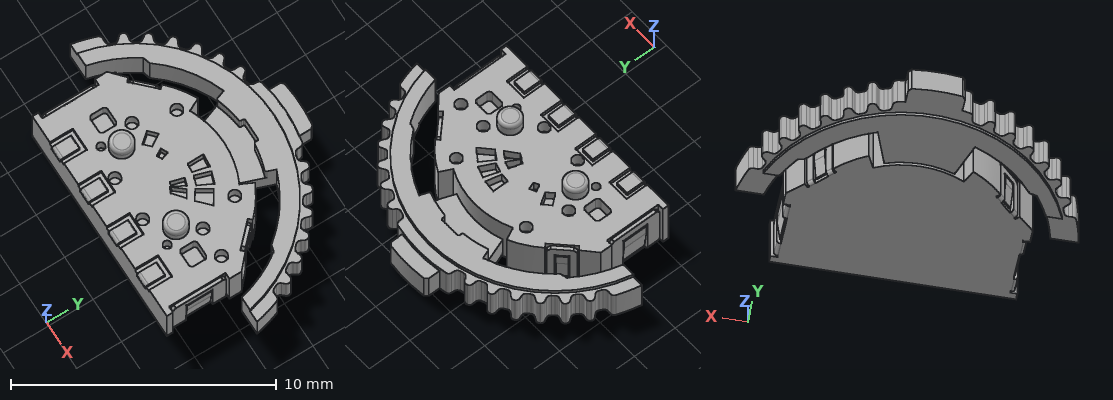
import cadquery as cq
import math

body_height = 2.21
body_half_width = 4.74
body_arc_radius = 4.54
slant_angle = 45.0
shoulder_y = 3.33
slant_distance = 4.54
overlap = 0.07

pivot_y = 1.59
ring_end_y = 2.85
ring_half_span = 6.58
tip_radius = math.hypot(ring_half_span, ring_end_y - pivot_y)
root_radius = 6.32
lip_radius = 6.21
ring_outer_bore = 5.63
ring_inner_bore = 5.45
bore_step_outer_angle = 54.5
bore_step_inner_angle = 52.0
teeth_bottom = 0.32
teeth_top = 1.66
lip_height = 0.16
lip_end_y = 3.97

tooth_gap_count = 7
first_gap_angle = 16.1
last_gap_angle = 65.7
gap_pitch = (last_gap_angle - first_gap_angle) / (tooth_gap_count - 1)
gap_root_width = 0.4
gap_tip_width = 0.71
gap_root_fillet = 0.18
tooth_tip_fillet = 0.17

knob_half_width = 1.09
knob_radius = 7.34
knob_top = 1.5
knob_chamfer = 0.12

spoke_angle = 20.0
spoke_pad_radius = 5.0
spoke_top = 1.13
pad_notch_width = 1.0
pad_notch_radius = 5.19
pad_fillet = 0.07
seat_radius = 3.95
seat_angle = 26.2

side_slot_start_y = 0.28
side_slot_end_y = 2.79
slant_slot_length = 1.29
slant_floor_distance = 4.34
side_floor_x = 4.46
plate_thickness = 0.16
plate_end_gap = 0.07
plate_top = 2.09
plate_corner = 0.15
side_window_width = 1.2
slant_window_width = 0.58
window_top = 1.7
lug_top = 1.62
lug_knee = 1.18
lug_bottom = 0.2
lug_side_gap = 0.05
lug_lower_depth = 0.05

pin_diameter = 1.0
pin_height = 0.59
pin_fillet = 0.16
pin_x = 1.91
pin_y = 2.2
hole_diameter = 0.5
small_hole_diameter = 0.34
hole_depth = 0.65
hole_points = [
    (-2.04, 4.74),
    (2.04, 4.74),
    (-2.5, 3.03),
    (2.5, 3.03),
    (3.8, 3.03),
    (-0.97, 1.3),
    (0.97, 1.3),
]
small_hole_points = [(-2.33, 1.54), (2.33, 1.54)]
pocket_x = 3.17
pocket_y = 2.17
pocket_length = 0.84
pocket_width = 0.76
pocket_fillet = 0.15
sector_depth = 0.42
sector_windows = [
    (2.33, 3.04, 0.0, 9.3, 0.0, 10.2),
    (2.33, 3.03, 12.9, 23.0, 14.0, 23.9),
    (2.26, 2.97, 26.2, 38.6, 27.8, 40.5),
    (1.4, 1.99, 10.6, 18.5, 12.1, 21.7),
    (1.34, 1.95, 18.6, 29.5, 25.5, 36.4),
    (2.04, 2.6, -50.2, -39.4, -47.9, -37.9),
    (1.76, 2.09, -30.4, -22.5, -30.2, -22.0),
]

contact_x = [-3.0, -1.0, 1.0, 3.0]
recess_width = 1.0
recess_length = 1.03
recess_depth = 0.17
tab_width = 0.6
tab_end_y = 0.83
tab_top = 2.2
tab_bend_radius = 0.15
tab_nose_height = 0.03
tab_overhang = 0.05


def polar(radius, angle):
    """Point at a radius from the pivot; the angle runs from +Y towards +X."""
    turn = math.radians(angle)
    return radius * math.sin(turn), pivot_y + radius * math.cos(turn)


def slab(outline, bottom, top):
    return outline.extrude(top - bottom).translate((0, 0, bottom))


def arc_band(inner, outer, half_angle, bottom, top):
    """Band between two radii, symmetric about +Y."""
    outline = (
        cq.Workplane("XY")
        .moveTo(*polar(inner, -half_angle))
        .lineTo(*polar(outer, -half_angle))
        .threePointArc(polar(outer, 0), polar(outer, half_angle))
        .lineTo(*polar(inner, half_angle))
        .threePointArc(polar(inner, 0), polar(inner, -half_angle))
        .close()
    )
    return slab(outline, bottom, top)


def disc(radius, bottom, top, cut_y):
    """Disc about the pivot, keeping only the part beyond cut_y."""
    half_x = math.sqrt(radius**2 - (cut_y - pivot_y) ** 2)
    outline = (
        cq.Workplane("XY")
        .moveTo(-half_x, cut_y)
        .threePointArc((0, pivot_y + radius), (half_x, cut_y))
        .close()
    )
    return slab(outline, bottom, top)


def both_sides(shape):
    return shape.union(shape.mirror("YZ"))


def housing():
    """Block with slanted corners, rounded back and a seat for the spoke."""

    def slant_point(distance, along):
        turn = math.radians(slant_angle)
        x = distance * math.sin(turn) + along * math.cos(turn)
        y = pivot_y + distance * math.cos(turn) - along * math.sin(turn)
        return x, y

    slant_end = slant_point(slant_distance, slant_slot_length)
    arc_end = polar(body_arc_radius, slant_angle)
    right = [(body_half_width, 0), (body_half_width, shoulder_y), slant_end, arc_end]
    left = [(-x, y) for x, y in reversed(right)]
    outline = (
        cq.Workplane("XY")
        .polyline(right)
        .threePointArc(polar(body_arc_radius, 0), left[0])
        .polyline(left[1:], includeCurrent=True)
        .close()
    )
    seat = arc_band(seat_radius, body_arc_radius + overlap, seat_angle, 0, body_height)
    return slab(outline, 0, body_height).cut(seat)


def clip_slot(length):
    """Slot in a wall: +X points out of the wall, floor on X = 0, centred on Y."""
    depth = 4 * plate_thickness
    return cq.Workplane("XY").box(depth, length, body_height, centered=(False, True, False))


def clip_plate(slot_length, window_width):
    """Plate with a window open at the bottom and a snap lug, in the frame of clip_slot."""
    width = slot_length - 2 * plate_end_gap
    plate = (
        cq.Workplane("XY")
        .box(plate_thickness + overlap, width, plate_top, centered=(False, True, False))
        .translate((-overlap, 0, 0))
        .edges("|X and >Z")
        .chamfer(plate_corner)
        .edges(">X and <Z")
        .fillet(plate_corner)
    )
    window = cq.Workplane("XY").box(plate_thickness, window_width, window_top, centered=(False, True, False))
    lug_width = window_width - 2 * lug_side_gap
    lug = (
        cq.Workplane("XZ")
        .polyline(
            [
                (-overlap, lug_bottom),
                (lug_lower_depth, lug_bottom),
                (plate_thickness, lug_knee),
                (plate_thickness, lug_top),
                (-overlap, lug_top),
            ]
        )
        .close()
        .extrude(lug_width / 2, both=True)
    )
    return plate.cut(window).union(lug)


def place_side(shape):
    return shape.translate((side_floor_x, (side_slot_start_y + side_slot_end_y) / 2, 0))


def place_slant(shape):
    moved = shape.translate((slant_floor_distance, -slant_slot_length / 2, 0))
    return moved.rotate((0, 0, 0), (0, 0, 1), 90 - slant_angle).translate((0, pivot_y, 0))


def add_clips(body):
    side_length = side_slot_end_y - side_slot_start_y
    clips = [
        (place_side, side_length, side_window_width),
        (place_slant, slant_slot_length, slant_window_width),
    ]
    for place, length, window_width in clips:
        body = body.cut(both_sides(place(clip_slot(length))))
        body = body.union(both_sides(place(clip_plate(length, window_width))))
    return body


def add_top_details(body):
    top = cq.Workplane("XY").workplane(offset=body_height)
    body = body.cut(top.pushPoints(hole_points).circle(hole_diameter / 2).extrude(-hole_depth))
    body = body.cut(top.pushPoints(small_hole_points).circle(small_hole_diameter / 2).extrude(-hole_depth))

    pockets = (
        top.pushPoints([(-pocket_x, pocket_y), (pocket_x, pocket_y)])
        .rect(pocket_length, pocket_width)
        .extrude(-hole_depth)
        .edges("|Z")
        .fillet(pocket_fillet)
    )
    body = body.cut(pockets)

    for inner, outer, inner_start, inner_end, outer_start, outer_end in sector_windows:
        corners = [
            polar(inner, inner_start),
            polar(outer, outer_start),
            polar(outer, outer_end),
            polar(inner, inner_end),
        ]
        body = body.cut(top.polyline(corners).close().extrude(-sector_depth))

    pins = (
        top.pushPoints([(-pin_x, pin_y), (pin_x, pin_y)])
        .circle(pin_diameter / 2)
        .extrude(pin_height)
        .faces(">Z")
        .edges()
        .fillet(pin_fillet)
    )
    return body.union(pins)


def add_contacts(body):
    """Recesses at the front edge, each with a tab rolled over the edge."""
    bend_y = tab_bend_radius - tab_overhang
    nose_top = tab_top - tab_bend_radius
    nose_bottom = nose_top - tab_nose_height
    tab_bottom = nose_bottom - tab_bend_radius
    sagitta = tab_bend_radius * (1 - math.sqrt(0.5))
    middle_y = sagitta - tab_overhang
    tab = (
        cq.Workplane("YZ")
        .moveTo(tab_end_y, tab_top)
        .lineTo(bend_y, tab_top)
        .threePointArc((middle_y, tab_top - sagitta), (-tab_overhang, nose_top))
        .lineTo(-tab_overhang, nose_bottom)
        .threePointArc((middle_y, tab_bottom + sagitta), (bend_y, tab_bottom))
        .lineTo(tab_end_y, tab_bottom)
        .close()
        .extrude(tab_width / 2, both=True)
    )
    recess = cq.Workplane("XY").box(recess_width, recess_length, recess_depth, centered=(True, False, False))
    for x in contact_x:
        body = body.cut(recess.translate((x, 0, body_height - recess_depth)))
        body = body.union(tab.translate((x, 0, 0)))
    return body


def bore():
    """Opening of the arc: the middle stretch is narrower than the two ends."""
    wide_middle_angle = (90 + bore_step_outer_angle) / 2
    wide_start = polar(ring_outer_bore, -bore_step_outer_angle)
    wide_end = polar(ring_outer_bore, bore_step_outer_angle)
    narrow_start = polar(ring_inner_bore, -bore_step_inner_angle)
    narrow_end = polar(ring_inner_bore, bore_step_inner_angle)
    outline = (
        cq.Workplane("XY")
        .moveTo(-ring_outer_bore, pivot_y)
        .threePointArc(polar(ring_outer_bore, -wide_middle_angle), wide_start)
        .lineTo(*narrow_start)
        .threePointArc(polar(ring_inner_bore, 0), narrow_end)
        .lineTo(*wide_end)
        .threePointArc(polar(ring_outer_bore, wide_middle_angle), (ring_outer_bore, pivot_y))
        .close()
    )
    return slab(outline, 0, body_height)


def tooth_gaps():
    """Rounded gaps between the teeth, on both sides of the middle."""
    flare = (gap_tip_width - gap_root_width) / (tip_radius - root_radius)
    outside = tip_radius + overlap
    half_outside = (gap_root_width + flare * (outside - root_radius)) / 2
    half_root = gap_root_width / 2
    outline = (
        cq.Workplane("XY")
        .polyline(
            [
                (-half_root, root_radius),
                (-half_outside, outside),
                (half_outside, outside),
                (half_root, root_radius),
            ]
        )
        .close()
    )
    gap = slab(outline, 0, body_height).edges("|Z and <Y").fillet(gap_root_fillet)
    gaps = cq.Workplane("XY")
    for index in range(tooth_gap_count):
        angle = first_gap_angle + index * gap_pitch
        for turn in (-angle, angle):
            gaps = gaps.add(gap.rotate((0, 0, 0), (0, 0, 1), turn).translate((0, pivot_y, 0)))
    return gaps.combine()


def toothed_arc():
    teeth = disc(tip_radius, teeth_bottom, teeth_top, ring_end_y).cut(tooth_gaps())
    tip_edges = [
        edge
        for edge in teeth.edges("|Z").vals()
        if edge.Center().y > ring_end_y + overlap
        and math.hypot(edge.Center().x, edge.Center().y - pivot_y) > tip_radius - overlap
    ]
    teeth = teeth.newObject(tip_edges).fillet(tooth_tip_fillet)

    upper_lip = disc(lip_radius, teeth_bottom, teeth_top + lip_height, ring_end_y)
    lower_lip = disc(lip_radius, teeth_bottom - lip_height, teeth_top, lip_end_y)

    knob_corner_y = pivot_y + math.sqrt(knob_radius**2 - knob_half_width**2)
    knob_outline = (
        cq.Workplane("XY")
        .moveTo(-knob_half_width, pivot_y + root_radius)
        .lineTo(-knob_half_width, knob_corner_y)
        .threePointArc((0, pivot_y + knob_radius), (knob_half_width, knob_corner_y))
        .lineTo(knob_half_width, pivot_y + root_radius)
        .close()
    )
    knob = slab(knob_outline, teeth_bottom, knob_top)
    knob_corners = [edge for edge in knob.edges("|Z").vals() if edge.Center().y > pivot_y + tip_radius]
    knob = knob.newObject(knob_corners).chamfer(knob_chamfer)
    return teeth.union(upper_lip).union(lower_lip).union(knob).cut(bore())


def spoke():
    """Thin web into the housing seat, with a full-height notched pad against the arc."""
    bottom = teeth_bottom - lip_height
    top = teeth_top + lip_height
    notch_y = pivot_y + pad_notch_radius
    pad = arc_band(spoke_pad_radius, ring_inner_bore + overlap, spoke_angle, bottom, top)
    notch = (
        cq.Workplane("XY")
        .box(pad_notch_width, notch_y - pivot_y, top, centered=(True, False, False))
        .translate((0, pivot_y, 0))
        .edges("|Z and >Y")
        .fillet(pad_fillet)
    )
    pad = pad.cut(notch)
    rim_edges = [
        edge
        for edge in pad.edges("|Z").vals()
        if math.hypot(edge.Center().x, edge.Center().y - pivot_y) < spoke_pad_radius + pad_fillet / 2
    ]
    pad = pad.newObject(rim_edges).fillet(pad_fillet)
    web = arc_band(seat_radius - overlap, ring_inner_bore + overlap, spoke_angle, bottom, spoke_top)
    return pad.union(web)


block = add_contacts(add_top_details(add_clips(housing())))
result = block.union(toothed_arc()).union(spoke())